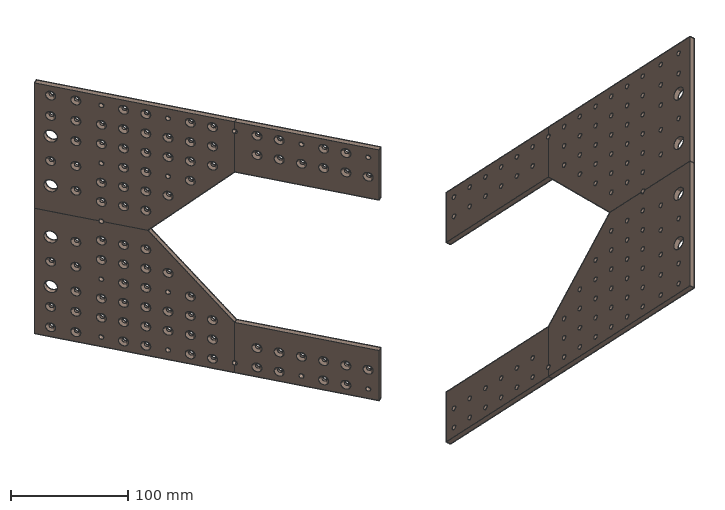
import cadquery as cq

length = 310.0
half_height = 260.0 / 2
thickness = 5.0

screw_diameter = 4.3
sink_diameter = 9.0
sink_angle = 90.0
dowel_diameter = 4.3
large_diameter = 12.0

edge_margin = 10.0
grid_start_x = 60.0
last_column = 12
seam_column = 6
centre_row = 6
column_pitch = (length - edge_margin - grid_start_x) / last_column
row_pitch = (half_height - edge_margin) / centre_row
dowel_step = 3
plate_row_counts = (6, 6, 6, 5, 4, 3)
arm_rows = 2

seam_x = grid_start_x + seam_column * column_pitch
arm_width = 52.0
arm_inner_z = half_height - arm_width
notch_x = seam_x - arm_inner_z

outer_column_x = 14.5
inner_column_x = 37.2
row_gaps = (21.0, 21.0, 25.7, 25.7)
column_depths = [edge_margin + sum(row_gaps[:row]) for row in range(len(row_gaps) + 1)]
large_hole_rows = (2, 4)


def grid_point(column, row):
    """X, Z position of a grid hole."""
    return (grid_start_x + column * column_pitch, half_height - edge_margin - row * row_pitch)


def is_dowel(column, row):
    return column % dowel_step == 0 and row % dowel_step == 0


def split_grid(cells):
    """Sort grid cells into countersunk screw points and plain dowel points."""
    screws = [grid_point(*cell) for cell in cells if not is_dowel(*cell)]
    dowels = [grid_point(*cell) for cell in cells if is_dowel(*cell)]
    return screws, dowels


def flat_plate(outline):
    return cq.Workplane("XZ").polyline(outline).close().extrude(-thickness)


def drill(plate, points, diameter):
    return plate.copyWorkplane(cq.Workplane("XZ")).pushPoints(points).hole(diameter)


def countersink(plate, points):
    front = plate.copyWorkplane(cq.Workplane("XZ")).pushPoints(points)
    return front.cskHole(screw_diameter, sink_diameter, sink_angle)


def make_main_plate():
    """Upper main plate with its hole grid and the two edge columns."""
    plate = flat_plate([
        (0, 0),
        (notch_x, 0),
        (seam_x, arm_inner_z),
        (seam_x, half_height),
        (0, half_height),
    ])

    cells = [(column, row) for row, count in enumerate(plate_row_counts) for column in range(count)]
    cells += [(seam_column, 0), (0, centre_row)]
    screws, dowels = split_grid(cells)

    large_holes = []
    for row, depth in enumerate(column_depths):
        z = half_height - depth
        screws.append((inner_column_x, z))
        if row in large_hole_rows:
            large_holes.append((outer_column_x, z))
        else:
            screws.append((outer_column_x, z))

    plate = countersink(plate, screws)
    plate = drill(plate, dowels, dowel_diameter)
    return drill(plate, large_holes, large_diameter)


def make_arm():
    """Upper arm with two rows of grid holes and a half dowel hole at the joint."""
    arm = flat_plate([
        (seam_x, arm_inner_z),
        (length, arm_inner_z),
        (length, half_height),
        (seam_x, half_height),
    ])

    arm_columns = range(seam_column + 1, last_column + 1)
    cells = [(column, row) for row in range(arm_rows) for column in arm_columns]
    cells.append((seam_column, 0))
    screws, dowels = split_grid(cells)

    arm = countersink(arm, screws)
    return drill(arm, dowels, dowel_diameter)


bodies = []
for make_body in (make_main_plate, make_arm):
    upper = make_body()
    lower = upper.mirror("XY")
    bodies += [upper.val(), lower.val()]

result = cq.Compound.makeCompound(bodies)